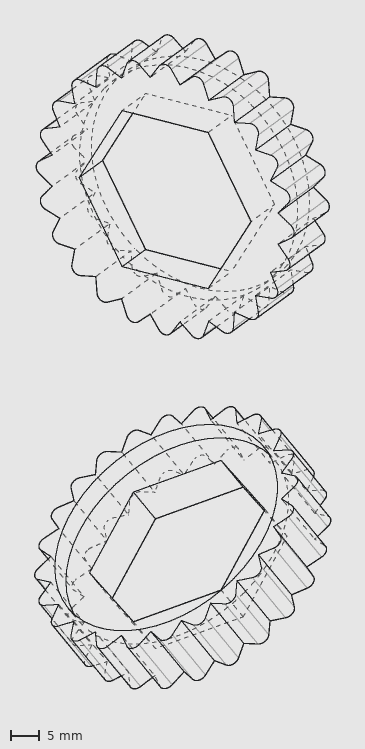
import cadquery as cq
import math

outer_radius = 26.0
root_radius = 23.0
tip_radius = 1.5
tooth_count = 24
width = 12.0
hex_across_flats = 30.0
web_thickness = 8.0
recess_radius = 22.0

tooth_pitch = 360.0 / tooth_count
hex_across_corners = hex_across_flats / math.cos(math.radians(30))
recess_depth = width - web_thickness


def polar(radius, angle):
    """Point at a radius and an angle in degrees."""
    a = math.radians(angle)
    return (radius * math.cos(a), radius * math.sin(a))


def flank_end():
    """Radius and angle, from the tooth axis, where a straight flank meets the tip round."""
    tip_centre = outer_radius - tip_radius
    root_x, root_y = polar(root_radius, tooth_pitch / 2)
    run = root_x - tip_centre
    to_root = math.degrees(math.atan2(root_y, run))
    opening = math.degrees(math.acos(tip_radius / math.hypot(run, root_y)))
    offset_x, offset_y = polar(tip_radius, to_root - opening)
    x = tip_centre + offset_x
    return math.hypot(x, offset_y), math.degrees(math.atan2(offset_y, x))


def toothed_disc():
    """Solid disc with straight-flanked, round-tipped teeth all around."""
    end_radius, end_angle = flank_end()
    outline = cq.Workplane("XZ").moveTo(*polar(root_radius, -tooth_pitch / 2))
    for tooth in range(tooth_count):
        axis = tooth * tooth_pitch
        outline = outline.lineTo(*polar(end_radius, axis - end_angle))
        outline = outline.threePointArc(
            polar(outer_radius, axis),
            polar(end_radius, axis + end_angle),
        )
        if tooth < tooth_count - 1:
            outline = outline.lineTo(*polar(root_radius, axis + tooth_pitch / 2))
    return outline.close().extrude(width / 2, both=True)


def hex_bore():
    """Hexagonal through bore with two corners on the X axis."""
    return cq.Workplane("XZ").polygon(6, hex_across_corners).extrude(width / 2, both=True)


def back_recess():
    """Round recess sunk into the +Y face, leaving a thin rim under the teeth."""
    back_face = cq.Workplane("XZ", origin=(0, width / 2, 0))
    return back_face.circle(recess_radius).extrude(recess_depth)


result = toothed_disc().cut(hex_bore()).cut(back_recess())